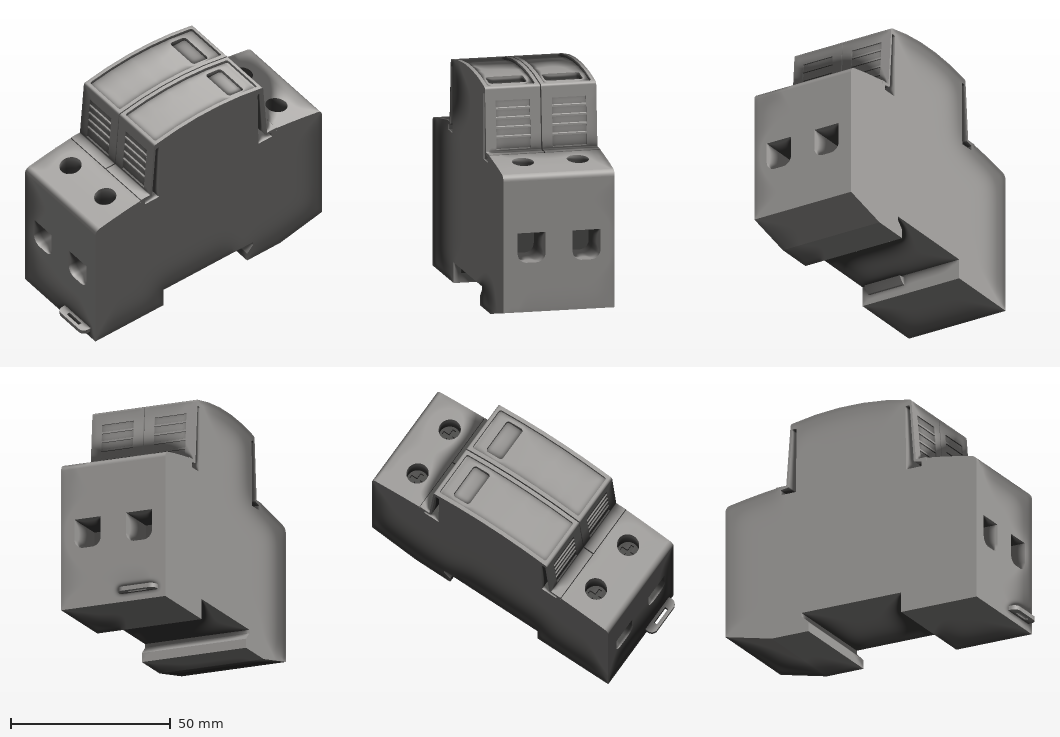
import cadquery as cq
import math


pick_margin = 0.5

width = 36.0
housing_half_length = 44.9
height = 73.5

pole_count = 2
pole_gap = 0.4
pole_width = (width - pole_gap) / pole_count
pole_pitch = pole_width + pole_gap

shoulder_radius = 223.2
shoulder_apex = 52.1
shoulder_corner_radius = 2.0
base_slope_end = 28.4
base_slope_height = 3.7

rail_top = 6.6
rail_back = 17.7
rail_front = -17.95
rail_lip_back = 15.25
rail_lip_top = 5.4
rail_lip_bottom = 3.0

latch_width = 13.1
latch_center = 9.0
nose_top = 5.9
nose_bottom = 3.2
nose_tip = (-15.2, 5.4)
nose_lower_corner = (-17.3, 3.3)
tab_tip = -48.1
tab_bottom = 2.6
tab_thickness = 1.4
tab_corner_radius = 2.0
tab_slot_length = 6.1
tab_slot_width = 1.1
tab_slot_y = -46.4

well_half_length = 25.2
well_floor = 47.9

crown_radius = 98.6
hood_top_y = 21.6
hood_bottom_y = 23.2
hood_corner_radius = 0.8
wall_thickness = 0.7
core_top_y = 19.4
core_bottom_y = 19.7
slit_top = 69.3
slit_corner_radius = 0.5
foot_end = 26.8
foot_clearance = 0.2
foot_bottom = 49.5
foot_top = 50.7
foot_fillet_radius = 0.3
foot_inner_bottom = 49.9

label_width = 15.3
label_length = 40.5
label_depth = 1.0
label_corner_radius = 0.65
window_width = 12.2
window_length = 6.1
window_y = 13.2
window_floor = 69.9
window_corner_radius = 1.0

grip_width = 11.1
grip_depth = 0.5
grip_top = 66.9
grip_height = 2.4
grip_ledge_rise = 0.2
grip_pitch = 3.0
grip_count = 4
last_grip_bottom = 51.3

terminal_pitch = 17.8
screw_y = 33.9
screw_hole_diameter = 7.0
screw_head_z = 42.8
screw_slot_length = 5.3
screw_slot_width = 1.2
screw_slot_depth = 0.9
wire_width = 9.0
wire_bottom = 19.5
wire_height = 9.6
wire_corner_radius = 3.0
wire_depth = 14.9


def arc_z(y, apex, radius):
    """Height at y of an arc whose highest point is at y = 0."""
    return apex - radius + math.sqrt(radius ** 2 - y ** 2)


def hood_y(z):
    """Outer face of the sloped hood wall at height z, on the back side."""
    hood_top_z = arc_z(hood_top_y, height, crown_radius)
    slope = (hood_bottom_y - hood_top_y) / (hood_top_z - foot_top)
    return hood_bottom_y - slope * (z - foot_top)


def extrude_across(sketch, center, length):
    """Extrude a YZ outline along X, centred on the given X."""
    return sketch.extrude(length / 2, both=True).translate((center, 0, 0))


def both_ends(shape):
    """The shape and its mirror image at the other end of the part."""
    return shape.union(shape.mirror("XZ"))


def make_housing():
    shoulder_end_z = arc_z(housing_half_length, shoulder_apex, shoulder_radius)
    outline = (
        cq.Workplane("YZ")
        .moveTo(-housing_half_length, 0)
        .lineTo(-housing_half_length, shoulder_end_z)
        .threePointArc((0, shoulder_apex), (housing_half_length, shoulder_end_z))
        .lineTo(housing_half_length, base_slope_height)
        .lineTo(base_slope_end, 0)
        .lineTo(rail_lip_back, 0)
        .lineTo(rail_lip_back, rail_lip_bottom)
        .lineTo(rail_back, rail_lip_top)
        .lineTo(rail_back, rail_top)
        .lineTo(rail_front, rail_top)
        .lineTo(rail_front, 0)
        .close()
    )
    housing = extrude_across(outline, 0, width)
    shoulder_corners = cq.selectors.BoxSelector(
        (-width, -2 * housing_half_length, shoulder_end_z - pick_margin),
        (width, 2 * housing_half_length, shoulder_end_z + pick_margin),
    )
    housing = housing.edges("|X").edges(shoulder_corners).fillet(shoulder_corner_radius)

    well_height = shoulder_apex - well_floor
    well = cq.Workplane().box(width, 2 * well_half_length, well_height)
    seat_height = shoulder_apex - foot_bottom
    seat = cq.Workplane().box(width, 2 * (foot_end + foot_clearance), seat_height)
    housing = housing.cut(well.translate((0, 0, well_floor + well_height / 2)))
    return housing.cut(seat.translate((0, 0, foot_bottom + seat_height / 2)))


def make_hood_block(center):
    """Solid crown and sloped walls, before the slits are opened."""
    hood_top_z = arc_z(hood_top_y, height, crown_radius)
    outline = (
        cq.Workplane("YZ")
        .moveTo(-hood_bottom_y, foot_top)
        .lineTo(-hood_top_y, hood_top_z)
        .threePointArc((0, height), (hood_top_y, hood_top_z))
        .lineTo(hood_bottom_y, foot_top)
        .lineTo(foot_end, foot_top)
        .lineTo(foot_end, foot_bottom)
        .lineTo(well_half_length, foot_bottom)
        .lineTo(well_half_length, well_floor)
        .lineTo(-well_half_length, well_floor)
        .lineTo(-well_half_length, foot_bottom)
        .lineTo(-foot_end, foot_bottom)
        .lineTo(-foot_end, foot_top)
        .close()
    )
    block = extrude_across(outline, center, pole_width)
    crown_corners = cq.selectors.BoxSelector(
        (-width, -hood_top_y - pick_margin, hood_top_z - pick_margin),
        (width, hood_top_y + pick_margin, hood_top_z + pick_margin),
    )
    block = block.edges("|X").edges(crown_corners).fillet(hood_corner_radius)
    wall_bases = cq.selectors.BoxSelector(
        (-width, -hood_bottom_y - pick_margin, foot_top - pick_margin),
        (width, hood_bottom_y + pick_margin, foot_top + pick_margin),
    )
    return block.edges("|X").edges(wall_bases).fillet(foot_fillet_radius)


def make_slit(center):
    """Opening between the core and the thin hood wall at the back."""
    outline = (
        cq.Workplane("YZ")
        .moveTo(core_bottom_y, well_floor)
        .lineTo(core_top_y, slit_top)
        .lineTo(hood_y(slit_top) - wall_thickness, slit_top)
        .lineTo(hood_y(foot_inner_bottom) - wall_thickness, foot_inner_bottom)
        .lineTo(well_half_length, foot_bottom)
        .lineTo(well_half_length, well_floor)
        .close()
    )
    slit = extrude_across(outline, center, pole_width)
    return slit.edges("|X").edges(">Z or >>Z[-2]").fillet(slit_corner_radius)


def make_grip(center, top, bottom):
    """Shallow recess following the back hood wall, with a ledge sloping out at its bottom."""
    outline = cq.Workplane("YZ").polyline([
        (hood_y(top) - grip_depth, top),
        (hood_y(top) + grip_depth, top),
        (hood_y(bottom) + grip_depth, bottom - grip_ledge_rise),
        (hood_y(bottom) - grip_depth, bottom + grip_ledge_rise),
    ]).close()
    return extrude_across(outline, center, grip_width)


def make_label_recess(center):
    """Rounded recess whose floor runs parallel to the crown."""
    recess = (
        cq.Workplane()
        .box(label_width, label_length, height)
        .edges("|Z")
        .fillet(label_corner_radius)
        .translate((center, 0, height))
    )
    below_floor = (
        cq.Workplane("YZ")
        .circle(crown_radius - label_depth)
        .extrude(width, both=True)
        .translate((0, 0, height - crown_radius))
    )
    return recess.cut(below_floor)


def make_window(center):
    return (
        cq.Workplane()
        .box(window_width, window_length, height - window_floor, centered=(True, True, False))
        .edges("|Z")
        .fillet(window_corner_radius)
        .translate((center, window_y, window_floor))
    )


def make_cartridge(center):
    cartridge = make_hood_block(center).cut(both_ends(make_slit(center)))
    for i in range(grip_count):
        top = grip_top - i * grip_pitch
        cartridge = cartridge.cut(both_ends(make_grip(center, top, top - grip_height)))
    last_top = grip_top - grip_count * grip_pitch
    cartridge = cartridge.cut(both_ends(make_grip(center, last_top, last_grip_bottom)))
    return cartridge.cut(make_label_recess(center)).cut(make_window(center))


def make_terminal(center):
    """Screw hole, cross slot in the screw head and wire opening at the back."""
    hole = (
        cq.Workplane("XY", origin=(center, screw_y, screw_head_z))
        .circle(screw_hole_diameter / 2)
        .extrude(height - screw_head_z)
    )
    slot_top = cq.Workplane("XY", origin=(center, screw_y, screw_head_z))
    slot_x = slot_top.rect(screw_slot_length, screw_slot_width).extrude(-screw_slot_depth)
    slot_y = slot_top.rect(screw_slot_width, screw_slot_length).extrude(-screw_slot_depth)
    wire_opening = (
        cq.Workplane()
        .box(wire_width, wire_depth, wire_height)
        .edges("|Y and <Z")
        .fillet(wire_corner_radius)
        .translate((center, housing_half_length - wire_depth / 2, wire_bottom + wire_height / 2))
    )
    return hole.union(slot_x).union(slot_y).union(wire_opening)


def make_nose():
    outline = cq.Workplane("YZ").polyline([
        (rail_front, nose_top),
        nose_tip,
        nose_lower_corner,
        (rail_front, nose_bottom),
    ]).close()
    return extrude_across(outline, latch_center, latch_width)


def make_tab():
    tab_length = -housing_half_length - tab_tip
    tab = (
        cq.Workplane()
        .box(latch_width, tab_length, tab_thickness)
        .edges("|Z and <Y")
        .fillet(tab_corner_radius)
        .translate((latch_center, tab_tip + tab_length / 2, tab_bottom + tab_thickness / 2))
    )
    slot = cq.Workplane().box(tab_slot_length, tab_slot_width, 2 * tab_thickness)
    return tab.cut(slot.translate((latch_center, tab_slot_y, tab_bottom + tab_thickness / 2)))


result = make_housing()
for pole in range(pole_count):
    offset = pole - (pole_count - 1) / 2
    result = result.cut(both_ends(make_terminal(offset * terminal_pitch)))
    result = result.union(make_cartridge(offset * pole_pitch))
result = result.union(make_nose()).union(make_tab())